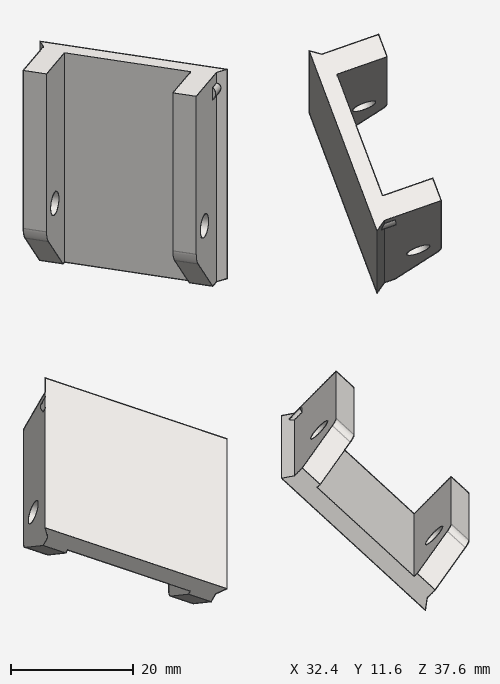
import cadquery as cq

height = 37.6
depth = 11.6
flange_width = 32.44

body_width = 29.94
wall_thickness = 4.05
plate_thickness = 2.9
flange_depth = 1.75

corner_cut = 8.0
corner_radius = 3.0

hole_diameter = 4.0
hole_from_front = 4.0
hole_from_top = 25.0

bump_radius = 1.5
bump_height = 0.5
bump_start = 0.5
bump_end = 3.6
bump_from_top = 3.0


def make_channel():
    """U-shaped section with tapered rear flanges, extruded upward."""
    half_flange = flange_width / 2
    half_body = body_width / 2
    half_gap = half_body - wall_thickness
    right_half = [
        (half_gap, -plate_thickness),
        (half_gap, -depth),
        (half_body, -depth),
        (half_body, -flange_depth),
        (half_flange, 0),
    ]
    left_half = [(-x, y) for x, y in reversed(right_half)]
    return cq.Workplane("XY").polyline(right_half + left_half).close().extrude(height)


def make_side_envelope():
    """Side outline with the sloped, rounded lower front corner."""
    return (
        cq.Workplane("YZ")
        .moveTo(0, 0)
        .lineTo(-(depth - corner_cut), 0)
        .lineTo(-depth, corner_cut)
        .lineTo(-depth, height)
        .lineTo(0, height)
        .close()
        .extrude(flange_width / 2, both=True)
        .edges(cq.selectors.NearestToPointSelector((0, -depth, corner_cut)))
        .fillet(corner_radius)
    )


def make_cross_hole():
    """Cylinder along X through both walls."""
    return (
        cq.Workplane("YZ")
        .center(-(depth - hole_from_front), height - hole_from_top)
        .circle(hole_diameter / 2)
        .extrude(flange_width / 2, both=True)
    )


def make_bump(side):
    """Latch bump on one wall; side is -1 for -X and +1 for +X."""
    axis_x = side * (body_width / 2 + bump_height - bump_radius)
    return (
        cq.Workplane("XZ", origin=(0, -bump_start, 0))
        .center(axis_x, height - bump_from_top)
        .circle(bump_radius)
        .extrude(bump_end - bump_start)
    )


result = make_channel().intersect(make_side_envelope())
for wall_side in (-1, 1):
    result = result.union(make_bump(wall_side))
result = result.cut(make_cross_hole())